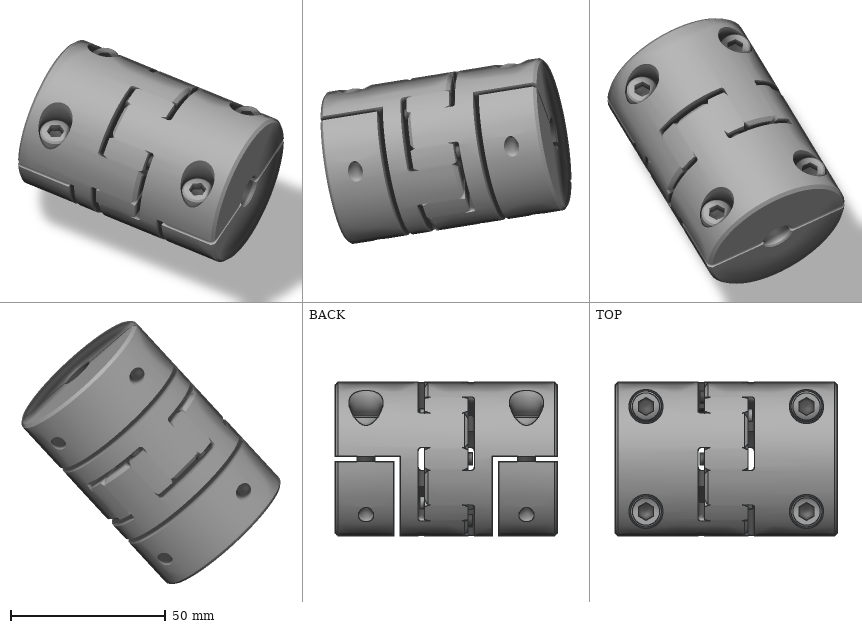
import cadquery as cq
import math


LENGTH = 72.0
OUTER_DIAMETER = 50.0
RADIUS = OUTER_DIAMETER / 2
END_CHAMFER = 1.0
BORE_DIAMETER = 10.0
BORE_CHAMFER = 0.5

LEG_COUNT = 8
LEG_PITCH = 360 / LEG_COUNT
LEG_WIDTH = 7.35
SPIDER_HALF_LENGTH = 7.05
SPIDER_BORE_DIAMETER = 27.0
LEG_CHAMFER_LENGTH = 1.7
LEG_CHAMFER_DEPTH = 0.7
NUB_DIAMETER = 4.0
NUB_HEIGHT = 1.5
NUB_CIRCLE_RADIUS = 20.0

JAW_COUNT = LEG_COUNT // 2
JAW_PITCH = 360 / JAW_COUNT
JAW_INNER_RADIUS = 16.7
JAW_TIP_CHAMFER = 1.15
JAW_ROOT_FILLET = 1.0
HUB_GAP = 2.0
HUB_FACE_X = SPIDER_HALF_LENGTH + HUB_GAP

SLIT_WIDTH = 1.7
CROSS_SLOT_WIDTH = 2.0
CROSS_SLOT_INNER_X = 15.0

SCREW_X = 26.0
SCREW_Y = 17.0
SHANK_DIAMETER = 6.0
CLEARANCE_DIAMETER = 6.5
THREAD_HOLE_DIAMETER = 4.9
HEAD_DIAMETER = 10.0
HEAD_HEIGHT = 6.0
HEAD_TOP_Z = 14.0
HEAD_SEAT_Z = HEAD_TOP_Z - HEAD_HEIGHT
HEAD_CHAMFER = 0.6
COUNTERBORE_DIAMETER = 11.0
SHANK_LENGTH = 20.0
SOCKET_SIDES = 6
SOCKET_FLATS = 5.0
SOCKET_DEPTH = 3.0
SOCKET_CONE_DEPTH = 1.45

TOLERANCE = 0.001


def cylinder_x(diameter, x_start, x_end, y=0.0):
    """Cylinder parallel to the coupling axis."""
    return cq.Workplane("YZ", origin=(x_start, y, 0)).circle(diameter / 2).extrude(x_end - x_start)


def cylinder_z(diameter, z_start, z_end):
    """Cylinder standing on the Z axis."""
    return cq.Workplane("XY").workplane(offset=z_start).circle(diameter / 2).extrude(z_end - z_start)


def turn(shape, angle):
    """Turn a shape lying toward -Y about the coupling axis, positive toward +Z."""
    return shape.rotate((0, 0, 0), (1, 0, 0), -angle)


def jaw():
    """One jaw of the -X hub, pointing toward -Y: a sector between two neighbouring spider legs."""
    half_angle = math.radians(LEG_PITCH / 2)
    apex_radius = LEG_WIDTH / 2 / math.sin(half_angle)
    half_opening = RADIUS * math.tan(half_angle)
    wedge = (
        cq.Workplane("YZ", origin=(-HUB_FACE_X, 0, 0))
        .polyline([
            (-apex_radius, 0),
            (-apex_radius - RADIUS, -half_opening),
            (-apex_radius - RADIUS, half_opening),
        ])
        .close()
        .extrude(HUB_FACE_X + SPIDER_HALF_LENGTH)
    )
    ring = cylinder_x(OUTER_DIAMETER, -HUB_FACE_X, SPIDER_HALF_LENGTH)
    ring = ring.cut(cylinder_x(2 * JAW_INNER_RADIUS, -HUB_FACE_X, SPIDER_HALF_LENGTH))
    return wedge.intersect(ring).faces(">X").chamfer(JAW_TIP_CHAMFER)


def is_jaw_root(edge):
    """True for an inside edge where a jaw rises from the inner face of the -X hub."""
    box = edge.BoundingBox()
    on_hub_face = abs(box.xmin + HUB_FACE_X) < TOLERANCE and box.xlen < TOLERANCE
    on_rim = edge.geomType() == "CIRCLE" and edge.radius() > RADIUS - TOLERANCE
    return on_hub_face and not on_rim


def jaw_hub():
    """The -X hub with its jaws and bore, before the clamp cuts."""
    hub = cylinder_x(OUTER_DIAMETER, -LENGTH / 2, -HUB_FACE_X).faces("<X").chamfer(END_CHAMFER)
    for index in range(JAW_COUNT):
        hub = hub.union(turn(jaw(), LEG_PITCH / 2 + index * JAW_PITCH))
    hub = hub.newObject(list(filter(is_jaw_root, hub.edges().vals())))
    hub = hub.fillet(JAW_ROOT_FILLET)
    hub = hub.cut(cylinder_x(BORE_DIAMETER, -LENGTH / 2, -HUB_FACE_X))
    bore_rim = hub.faces("<X").edges(cq.selectors.RadiusNthSelector(0))
    return bore_rim.chamfer(BORE_CHAMFER)


def spider_leg():
    """One parallel-sided leg pointing toward -Y, with long chamfers on both ends."""
    half_width = LEG_WIDTH / 2
    end_half_width = half_width - LEG_CHAMFER_DEPTH
    flank_end_x = SPIDER_HALF_LENGTH - LEG_CHAMFER_LENGTH
    leg = (
        cq.Workplane("XZ")
        .polyline([
            (-SPIDER_HALF_LENGTH, end_half_width),
            (-flank_end_x, half_width),
            (flank_end_x, half_width),
            (SPIDER_HALF_LENGTH, end_half_width),
            (SPIDER_HALF_LENGTH, -end_half_width),
            (flank_end_x, -half_width),
            (-flank_end_x, -half_width),
            (-SPIDER_HALF_LENGTH, -end_half_width),
        ])
        .close()
        .extrude(RADIUS)
    )
    return leg.intersect(cylinder_x(OUTER_DIAMETER, -SPIDER_HALF_LENGTH, SPIDER_HALF_LENGTH))


def spider():
    """Ring with eight legs and spacer nubs on alternating sides."""
    body = cylinder_x(2 * JAW_INNER_RADIUS, -SPIDER_HALF_LENGTH, SPIDER_HALF_LENGTH)
    leg = spider_leg()
    for index in range(LEG_COUNT):
        side = -1 if index % 2 == 0 else 1
        nub_end = side * (SPIDER_HALF_LENGTH + NUB_HEIGHT)
        nub = cylinder_x(NUB_DIAMETER, 0, nub_end, y=-NUB_CIRCLE_RADIUS)
        body = body.union(turn(leg.union(nub), index * LEG_PITCH))
    return body.cut(cylinder_x(SPIDER_BORE_DIAMETER, -SPIDER_HALF_LENGTH, SPIDER_HALF_LENGTH))


def clamp_slits():
    """L-shaped cut that frees the lower half of the -X hub."""
    slit = (
        cq.Workplane("XY")
        .box(LENGTH / 2 - CROSS_SLOT_INNER_X, OUTER_DIAMETER, SLIT_WIDTH, centered=(False, True, True))
        .translate((-LENGTH / 2, 0, 0))
    )
    cross_slot = (
        cq.Workplane("XY")
        .box(CROSS_SLOT_WIDTH, OUTER_DIAMETER, RADIUS + SLIT_WIDTH / 2, centered=(False, True, False))
        .translate((-CROSS_SLOT_INNER_X - CROSS_SLOT_WIDTH, 0, -RADIUS))
    )
    return slit.union(cross_slot)


def screw_hole():
    """Counterbored clearance hole above the slit and thread hole below it."""
    counterbore = cylinder_z(COUNTERBORE_DIAMETER, HEAD_SEAT_Z, RADIUS)
    clearance = cylinder_z(CLEARANCE_DIAMETER, 0, HEAD_SEAT_Z)
    thread_hole = cylinder_z(THREAD_HOLE_DIAMETER, -RADIUS, 0)
    return counterbore.union(clearance).union(thread_hole)


def socket():
    """Hexagonal screw drive with a conical bottom."""
    half_side_angle = 180 / SOCKET_SIDES
    across_corners = SOCKET_FLATS / math.cos(math.radians(half_side_angle))
    corner_radius = across_corners / 2
    prism = (
        cq.Workplane("XY", origin=(0, 0, HEAD_TOP_Z))
        .polygon(SOCKET_SIDES, across_corners)
        .extrude(-SOCKET_DEPTH - SOCKET_CONE_DEPTH)
        .rotate((0, 0, 0), (0, 0, 1), half_side_angle)
    )
    cone_z = HEAD_TOP_Z - SOCKET_DEPTH
    drill = (
        cq.Workplane("XZ")
        .polyline([
            (0, HEAD_TOP_Z),
            (corner_radius, HEAD_TOP_Z),
            (corner_radius, cone_z),
            (0, cone_z - SOCKET_CONE_DEPTH),
        ])
        .close()
        .revolve(360, (0, 0, 0), (0, 1, 0))
    )
    return prism.intersect(drill)


def screw():
    """Socket head cap screw pointing down."""
    head = cylinder_z(HEAD_DIAMETER, HEAD_SEAT_Z, HEAD_TOP_Z).faces(">Z").chamfer(HEAD_CHAMFER)
    shank = cylinder_z(SHANK_DIAMETER, HEAD_SEAT_Z - SHANK_LENGTH, HEAD_SEAT_Z)
    return head.cut(socket()).union(shank)


left_hub = jaw_hub()
right_hub = left_hub.rotate((0, 0, 0), (0, 1, 0), 180)
coupling = spider().union(left_hub).union(right_hub)

slits = clamp_slits()
coupling = coupling.cut(slits).cut(slits.mirror("YZ"))

screw_positions = [(x, y, 0) for x in (-SCREW_X, SCREW_X) for y in (-SCREW_Y, SCREW_Y)]
for position in screw_positions:
    coupling = coupling.cut(screw_hole().translate(position))
    coupling = coupling.union(screw().translate(position))

result = coupling